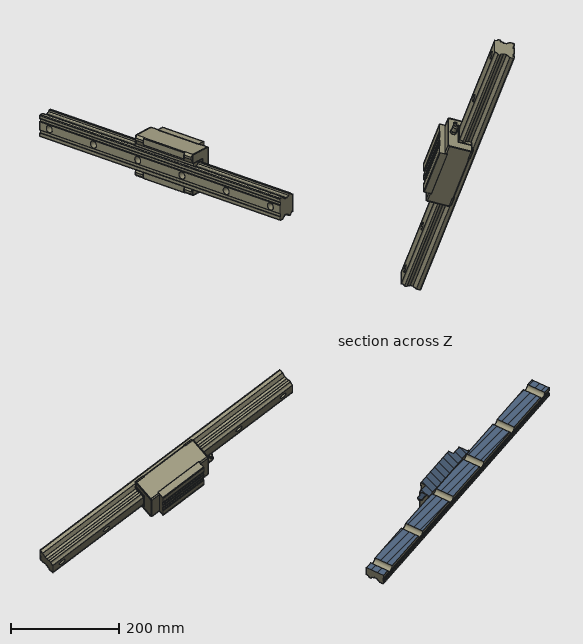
import cadquery as cq


hole_count = 6
hole_pitch = 105.0
end_margin = 22.5
rail_length = (hole_count - 1) * hole_pitch + 2 * end_margin
rail_half_width = 22.5
rail_height = 38.0
rail_hole_diameter = 14.0
foot_chamfer = 1.6
foot_height = 8.6
foot_inner_half_width = 14.6
base_groove_depth = 1.6
centre_pad_half_width = 8.4
centre_pad_slope = 0.8
waist_half_width = 16.6
waist_bottom = 15.2
waist_top = 20.5
flank_half_width = 18.0
flank_height = 22.3
shoulder_half_width = 19.5
shoulder_height = 26.2
head_bottom = 27.2
head_top = 31.6
crown_half_width = 17.8
crown_arc_top = 36.8
crown_sagitta = 1.1

block_length = 97.0
block_half_width = 43.0
block_top = 70.0
block_bottom = 12.0
block_chamfer = 1.5
flange_bottom = 54.5
body_half_width = 42.0
top_groove_depth = 1.6
top_groove_inner = 6.5
top_groove_outer = 19.7

cap_end = 66.6
cap_top = 59.3
cap_top_chamfer_height = 3.0
cap_top_chamfer_depth = 1.5
cap_bottom = 10.0
cap_bottom_chamfer = 4.6
mouth_half_width = 33.0

plate_end = 68.2
plate_bottom = 13.5
plate_inset = 0.5

seal_end = 69.7
seal_top = 40.0
seal_half_width = 24.5
mouth_inner_half_width = 24.0

nipple_height = 49.6
nipple_flange_diameter = 12.0
nipple_flange_length = 5.0
nipple_body_diameter = 10.4
nipple_body_end = -85.0
nipple_body_chamfer = 2.5
nipple_arm_x = -81.0
nipple_arm_diameter = 7.0
nipple_arm_top = 8.6
nipple_head_top = 13.2
nipple_head_chamfer = 1.2

section_plane = cq.Plane.YZ()


def extrude_along_x(profile, length):
    """Extrude a YZ profile to both sides of X = 0."""
    return profile.extrude(length / 2, both=True)


def yz_box(length, y_low, y_high, half_width):
    """Box centred on X = 0 and Z = 0 between two Y levels."""
    return cq.Workplane("XY").box(length, y_high - y_low, 2 * half_width).translate(
        (0, (y_low + y_high) / 2, 0)
    )


def rail_bar():
    """Solid rail section without its bolt holes."""
    half = (
        cq.Workplane(section_plane)
        .moveTo(0, 0)
        .lineTo(0, centre_pad_half_width)
        .lineTo(base_groove_depth, centre_pad_half_width + centre_pad_slope)
        .lineTo(base_groove_depth, foot_inner_half_width)
        .lineTo(0, foot_inner_half_width)
        .lineTo(0, rail_half_width - foot_chamfer)
        .lineTo(foot_chamfer, rail_half_width)
        .lineTo(foot_height, rail_half_width)
        .lineTo(waist_bottom, waist_half_width)
        .lineTo(waist_top, waist_half_width)
        .lineTo(flank_height, flank_half_width)
        .lineTo(shoulder_height, shoulder_half_width)
        .lineTo(head_bottom, rail_half_width)
        .lineTo(head_top, rail_half_width)
        .sagittaArc((crown_arc_top, crown_half_width), -crown_sagitta)
        .lineTo(rail_height, crown_half_width)
        .lineTo(rail_height, 0)
        .close()
    )
    half_bar = extrude_along_x(half, rail_length)
    return half_bar.union(half_bar.mirror("XY")).clean()


def make_rail(bar):
    """Rail bar drilled through in Y at every mounting position."""
    first_hole = end_margin - rail_length / 2
    rail = bar
    for index in range(hole_count):
        drill = (
            cq.Workplane("XZ", origin=(first_hole + index * hole_pitch, 0, 0))
            .circle(rail_hole_diameter / 2)
            .extrude(-rail_height)
        )
        rail = rail.cut(drill)
    return rail


def steel_block():
    """Middle block with a wider mounting flange and a grooved top face."""
    body = yz_box(block_length, block_bottom, block_top, body_half_width)
    body = body.edges("|X and <Y").chamfer(block_chamfer)
    flange = yz_box(block_length, flange_bottom, block_top, block_half_width)
    flange = flange.edges("|X and >Y").chamfer(block_chamfer)
    block = body.union(flange)
    groove_width = top_groove_outer - top_groove_inner
    for side in (-1, 1):
        groove_centre_z = side * (top_groove_inner + top_groove_outer) / 2
        groove = cq.Workplane("XY").box(block_length, 2 * top_groove_depth, groove_width)
        block = block.cut(groove.translate((0, block_top, groove_centre_z)))
    return block


def cap_bar(length, inset):
    """Bar with the chamfered cap outline, drawn in by an inset at its top and sides."""
    half_width = body_half_width - inset
    top = cap_top - inset
    right_side = [
        (cap_bottom, half_width - cap_bottom_chamfer),
        (cap_bottom + cap_bottom_chamfer, half_width),
        (top - cap_top_chamfer_height, half_width),
        (top, half_width - cap_top_chamfer_depth),
    ]
    left_side = [(y, -z) for y, z in reversed(right_side)]
    outline = cq.Workplane(section_plane).polyline(right_side + left_side).close()
    return extrude_along_x(outline, length)


def end_caps():
    """Both end caps with their end plates and seals, as one bar running through the block."""
    caps = cap_bar(2 * cap_end, 0)
    caps = caps.cut(yz_box(block_length, 0, plate_bottom, block_half_width))
    plates = cap_bar(2 * plate_end, plate_inset)
    plates = plates.cut(yz_box(2 * plate_end, 0, plate_bottom, block_half_width))
    seals = yz_box(2 * seal_end, plate_bottom, seal_top, seal_half_width)
    return caps.union(plates).union(seals)


def make_carriage(bar):
    """Block and caps, opened by the flared mouth and the rail passage."""
    mouth = extrude_along_x(
        cq.Workplane(section_plane).polyline(
            [
                (0, -mouth_half_width),
                (cap_bottom, -mouth_half_width),
                (plate_bottom, -mouth_inner_half_width),
                (plate_bottom, mouth_inner_half_width),
                (cap_bottom, mouth_half_width),
                (0, mouth_half_width),
            ]
        ).close(),
        rail_length,
    )
    return steel_block().union(end_caps()).cut(mouth).cut(bar)


def make_nipple():
    """Elbow nipple on the -X end plate, its arm turned up to +Z."""
    flange_start = -plate_end
    flange_face = flange_start - nipple_flange_length
    flange = (
        cq.Workplane("YZ", origin=(flange_start, nipple_height, 0))
        .polygon(6, nipple_flange_diameter)
        .extrude(-nipple_flange_length)
    )
    body = (
        cq.Workplane("YZ", origin=(flange_face, nipple_height, 0))
        .circle(nipple_body_diameter / 2)
        .extrude(nipple_body_end - flange_face)
        .faces("<X")
        .chamfer(nipple_body_chamfer)
    )
    arm = (
        cq.Workplane("XY", origin=(nipple_arm_x, nipple_height, 0))
        .polygon(6, nipple_arm_diameter)
        .extrude(nipple_arm_top)
    )
    head = (
        cq.Workplane("XY", origin=(nipple_arm_x, nipple_height, nipple_arm_top))
        .circle(nipple_arm_diameter / 2)
        .extrude(nipple_head_top - nipple_arm_top)
        .faces(">Z")
        .chamfer(nipple_head_chamfer)
    )
    return flange.union(body).union(arm).union(head)


rail_profile_bar = rail_bar()
rail = make_rail(rail_profile_bar)
carriage = make_carriage(rail_profile_bar)
nipple = make_nipple()

result = cq.Compound.makeCompound([rail.val(), carriage.val(), nipple.val()])